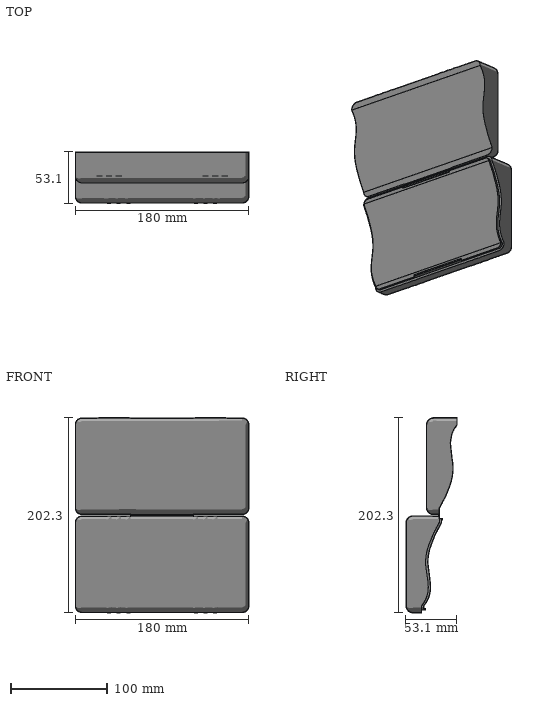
import cadquery as cq
import math


width = 180.0
height = 100.0
gap = 1.67
edge_radius = 7.0
upper_front = -13.35
lower_front = -34.29
inner_z = gap / 2
outer_z = inner_z + height

far_end_y = 18.5
valley = (11.5, 75.2)
crest = (14.3, 48.6)
slope_point = (7.2, 21.2)
hinge_y = 0.0
hinge_straight = 6.5
mating_line = [
    (far_end_y, outer_z - edge_radius),
    valley,
    crest,
    slope_point,
    (hinge_y, inner_z + hinge_straight),
]
overcut = 20.0

groove_count = 15
groove_pitch = 10.0
groove_arc_radius = 5.0
groove_depth = 0.1

band_offsets = [35.0, 45.0, 55.0]
band_width = 5.1
band_height = 0.33
band_root = 1.0
band_setback = edge_radius
band_slant_run = 10.0

lip_inset = 2.5
lip_height = 2.4
near_bead_height = 0.8
far_bead_height = 1.5
bead_thickness = 1.5

hinge_width = 65.0
hinge_thickness = 0.8
hinge_overlap = 1.0
crease_half_width = 0.5
crease_depth = 0.4
hinge_length = gap + 2 * hinge_overlap


def rounded_block(front_y, back_y, bottom_z, top_z, inset=0.0):
    """Box with rounded side corners and rounded front edges, shrunk all round by inset."""
    radius = edge_radius - inset
    block = (
        cq.Workplane("XY")
        .box(width - 2 * inset, back_y - front_y, top_z - bottom_z - 2 * inset)
        .translate((0, (front_y + back_y) / 2, (bottom_z + top_z) / 2))
    )
    return block.edges("|Y").fillet(radius).faces("<Y").edges().fillet(radius)


def behind_mating_line(points, far_z, near_z, shift=0.0):
    """Solid filling everything behind the mating line moved by shift in Y."""
    moved = [(y + shift, z) for y, z in points]
    direction = math.copysign(1.0, near_z - far_z)
    back_y = far_end_y + overcut
    return (
        cq.Workplane("YZ", origin=(-width, 0, 0))
        .moveTo(back_y, far_z - direction * overcut)
        .lineTo(moved[0][0], far_z - direction * overcut)
        .lineTo(*moved[0])
        .spline(moved[1:], includeCurrent=True)
        .lineTo(moved[-1][0], near_z + direction * overcut)
        .lineTo(back_y, near_z + direction * overcut)
        .close()
        .extrude(2 * width)
    )


def band_section(plane):
    """Arc-topped cross-section of a raised band; plane's local Y points out of the surface."""
    half = band_width / 2
    return (
        cq.Workplane(plane)
        .moveTo(-half, -band_root)
        .lineTo(-half, 0)
        .threePointArc((0, band_height), (half, 0))
        .lineTo(half, -band_root)
        .close()
    )


def slanted_band(side, offset):
    """Band on the upper shell's top face that spreads outward toward the front."""
    band_front = upper_front + edge_radius
    length_y = far_end_y - band_front
    run = side * band_slant_run
    direction = cq.Vector(run, -length_y, 0).normalized()
    start = cq.Vector(side * offset, far_end_y, outer_z) - direction * overcut
    plane = cq.Plane(origin=start, xDir=cq.Vector(0, 0, 1).cross(direction), normal=direction)
    band = band_section(plane).extrude(length_y + 3 * overcut)
    keep = (
        cq.Workplane("XY")
        .box(width, length_y, 2 * overcut)
        .translate((0, (far_end_y + band_front) / 2, outer_z))
    )
    return band.intersect(keep)


def groove_cutter(x):
    """Cylinder that leaves one shallow arc-bottomed groove along the upper front."""
    return (
        cq.Workplane("XY", origin=(x, upper_front + groove_depth - groove_arc_radius, inner_z))
        .circle(groove_arc_radius)
        .extrude(height)
    )


def upper_shell():
    """Upper half: wavy back, grooved front and slanted bands on the top face."""
    shell = rounded_block(upper_front, far_end_y + overcut, inner_z, outer_z)
    shell = shell.cut(behind_mating_line(mating_line, outer_z, inner_z))
    first_x = -groove_pitch * (groove_count - 1) / 2
    for i in range(groove_count):
        shell = shell.cut(groove_cutter(first_x + i * groove_pitch))
    for side in (-1, 1):
        for offset in band_offsets:
            shell = shell.union(slanted_band(side, offset))
    return shell


def wrapped_band(x):
    """Band running over the lower shell's top, front and bottom."""
    start_y = hinge_y - band_setback
    arc_y = lower_front + edge_radius
    diagonal = edge_radius * math.sqrt(0.5)
    path = (
        cq.Workplane("YZ", origin=(x, 0, 0))
        .moveTo(start_y, -inner_z)
        .lineTo(arc_y, -inner_z)
        .threePointArc(
            (arc_y - diagonal, -inner_z - edge_radius + diagonal),
            (lower_front, -inner_z - edge_radius),
        )
        .lineTo(lower_front, -outer_z + edge_radius)
        .threePointArc(
            (arc_y - diagonal, -outer_z + edge_radius - diagonal),
            (arc_y, -outer_z),
        )
        .lineTo(hinge_y, -outer_z)
    )
    plane = cq.Plane(origin=(x, start_y, -inner_z), xDir=(-1, 0, 0), normal=(0, 1, 0))
    return band_section(plane).sweep(path)


def lip_bead(crest_y, outer_face_z, bead_height):
    """Small bead on the lip's crest, level with the lip's outer face at outer_face_z."""
    shell_middle_z = -(inner_z + outer_z) / 2
    toward_middle = math.copysign(1.0, shell_middle_z - outer_face_z)
    return (
        cq.Workplane("XY")
        .box(hinge_width, 2 * bead_height, bead_thickness)
        .translate((0, crest_y, outer_face_z + toward_middle * bead_thickness / 2))
    )


def lower_shell():
    """Lower half: wavy back with a lip and its beads, and bands wrapped around it."""
    line = [(-y, -z) for y, z in mating_line]
    shell = rounded_block(lower_front, far_end_y + overcut, -outer_z, -inner_z)
    for side in (-1, 1):
        for offset in band_offsets:
            shell = shell.union(wrapped_band(side * offset))
    shell = shell.cut(behind_mating_line(line, -outer_z, -inner_z))
    lip = rounded_block(lower_front + lip_inset, far_end_y + overcut, -outer_z, -inner_z, lip_inset)
    lip = lip.cut(behind_mating_line(line, -outer_z, -inner_z, lip_height))
    shell = shell.union(lip)
    near_bead = lip_bead(lip_height - hinge_y, -inner_z - lip_inset, near_bead_height)
    far_bead = lip_bead(lip_height - far_end_y, -outer_z + lip_inset, far_bead_height)
    return shell.union(near_bead).union(far_bead)


def hinge_strip():
    """Flat strip with a shallow V-shaped crease across its front so that it folds."""
    front_y = hinge_y - hinge_thickness
    half_length = hinge_length / 2
    return (
        cq.Workplane("YZ", origin=(-hinge_width / 2, 0, 0))
        .moveTo(hinge_y, -half_length)
        .lineTo(hinge_y, half_length)
        .lineTo(front_y, half_length)
        .lineTo(front_y, crease_half_width)
        .lineTo(front_y + crease_depth, 0)
        .lineTo(front_y, -crease_half_width)
        .lineTo(front_y, -half_length)
        .close()
        .extrude(hinge_width)
    )


result = upper_shell().union(hinge_strip()).union(lower_shell())